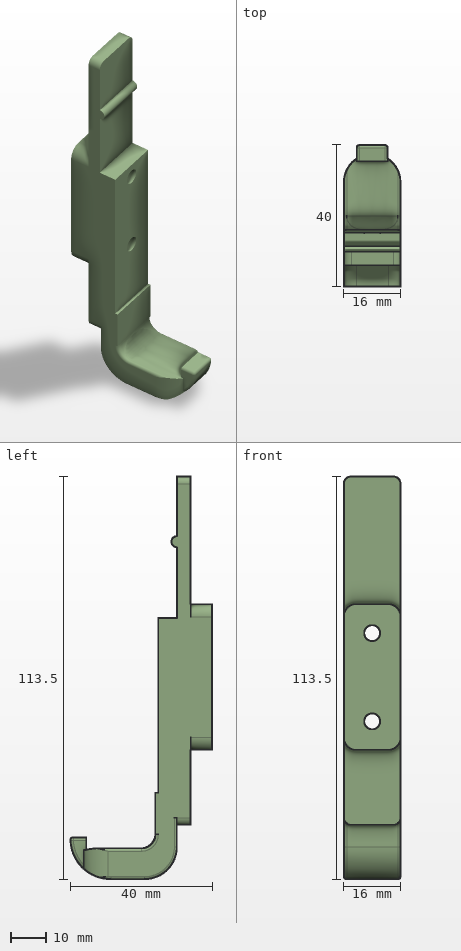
import cadquery as cq
import math

width = 16.0
height = 113.5
depth = 40.0
half_width = width / 2

pad_depth = 6.0
pad_bottom = 36.5
pad_top = 77.5
pad_corner = 3.5
hole_diameter = 4.4
hole_heights = (44.5, 69.4)

plate_back = 9.9
plate_bottom = 15.3
plate_corner = 2.0
block_back = 15.2
block_top = 73.7
block_bottom = plate_bottom + plate_corner

ridge_radius = 1.6
ridge_height = 95.2

edge_radius = 0.8
arm_front = plate_back
arm_back = block_back + edge_radius
arm_top = 24.4
floor_height = 8.7
trough_depth = 0.8
trough_half_width = half_width - edge_radius
inner_radius = 4.0
outer_radius = 9.2
nose_radius = 11.5
nose_start = depth - nose_radius
toe_center = 29.4
toe_end = toe_center + half_width

tip_width = 8.7
tip_front = 35.4
tip_top = 11.8
tip_edge_radius = 0.8


def box(y_min, y_max, z_min, z_max, box_width=width):
    """Box centred on x = 0."""
    size_y = y_max - y_min
    size_z = z_max - z_min
    return cq.Workplane("XY").box(box_width, size_y, size_z).translate(
        (0, (y_min + y_max) / 2, (z_min + z_max) / 2)
    )


def rounded_panel(y_min, y_max, z_min, z_max, corner):
    """Upright panel with the four corners of its outline rounded."""
    return box(y_min, y_max, z_min, z_max).edges("|Y").fillet(corner)


def nose_height(y):
    """Height of the underside of the nose at depth y."""
    return nose_radius - math.sqrt(nose_radius**2 - (y - nose_start) ** 2)


def nose_point(y_from, y_to):
    """Point on the nose arc halfway between two depths."""
    y = (y_from + y_to) / 2
    return (y, nose_height(y))


def make_body():
    body = rounded_panel(pad_depth, plate_back, plate_bottom, height, plate_corner)
    body = body.union(box(pad_depth, block_back, block_bottom, block_top))
    return body.union(rounded_panel(0, pad_depth, pad_bottom, pad_top, pad_corner))


def make_ridge():
    return (
        cq.Workplane("YZ")
        .center(plate_back, ridge_height)
        .circle(ridge_radius)
        .extrude(half_width, both=True)
        .intersect(box(pad_depth, block_back, block_top, height))
    )


def make_foot():
    """Arm and floor of the hook, with rounded side edges and a round toe."""
    diagonal = 1 - math.sqrt(0.5)
    foot = (
        cq.Workplane("YZ")
        .moveTo(arm_front, arm_top)
        .lineTo(arm_front, outer_radius)
        .threePointArc(
            (arm_front + outer_radius * diagonal, outer_radius * diagonal),
            (arm_front + outer_radius, 0),
        )
        .lineTo(nose_start, 0)
        .threePointArc(nose_point(nose_start, toe_end), (toe_end, nose_height(toe_end)))
        .lineTo(toe_end, floor_height)
        .lineTo(arm_back + inner_radius, floor_height)
        .threePointArc(
            (arm_back + inner_radius * diagonal, floor_height + inner_radius * diagonal),
            (arm_back, floor_height + inner_radius),
        )
        .lineTo(arm_back, arm_top)
        .close()
        .extrude(half_width, both=True)
    )
    rounded_zone = cq.selectors.BoxSelector(
        (-width, 0, -edge_radius), (width, toe_end - edge_radius, arm_top - edge_radius)
    )
    foot = foot.edges("#X").edges(rounded_zone).fillet(edge_radius)
    toe = (
        cq.Workplane("XY")
        .center(0, toe_center)
        .circle(half_width)
        .extrude(height)
    )
    foot = foot.intersect(toe.union(box(0, toe_center, 0, height)))
    return foot.union(box(arm_back - edge_radius, arm_back, floor_height + inner_radius, arm_top))


def make_trough():
    """Shallow hollow along the hook floor that fades out up the inner bend."""
    hollow_bottom = floor_height - trough_depth
    bend_axis_height = hollow_bottom + inner_radius
    bend_start = arm_back + inner_radius
    section = (
        cq.Workplane("XZ", origin=(0, bend_start, bend_axis_height))
        .moveTo(-trough_half_width, 0)
        .lineTo(-trough_half_width, floor_height - bend_axis_height)
        .threePointArc(
            (0, hollow_bottom - bend_axis_height),
            (trough_half_width, floor_height - bend_axis_height),
        )
        .lineTo(trough_half_width, 0)
        .close()
    )
    straight = section.extrude(-(depth - bend_start))
    bend = section.toPending().revolve(90, (0, 0, 0), (-1, 0, 0))
    return straight.union(bend)


def make_tip():
    tip = (
        cq.Workplane("YZ")
        .moveTo(tip_front, tip_top)
        .lineTo(tip_front, nose_height(tip_front))
        .threePointArc(nose_point(tip_front, depth), (depth, nose_radius))
        .lineTo(depth, tip_top)
        .close()
        .extrude(tip_width / 2, both=True)
    )
    outer_edges = tip.faces(">Z").edges("|Y or >Y").add(tip.edges("%CIRCLE"))
    return outer_edges.fillet(tip_edge_radius)


body = make_body().union(make_ridge()).union(make_foot().cut(make_trough())).union(make_tip())
holes = (
    cq.Workplane("XZ")
    .pushPoints([(0, z) for z in hole_heights])
    .circle(hole_diameter / 2)
    .extrude(-block_back)
)
result = body.cut(holes)